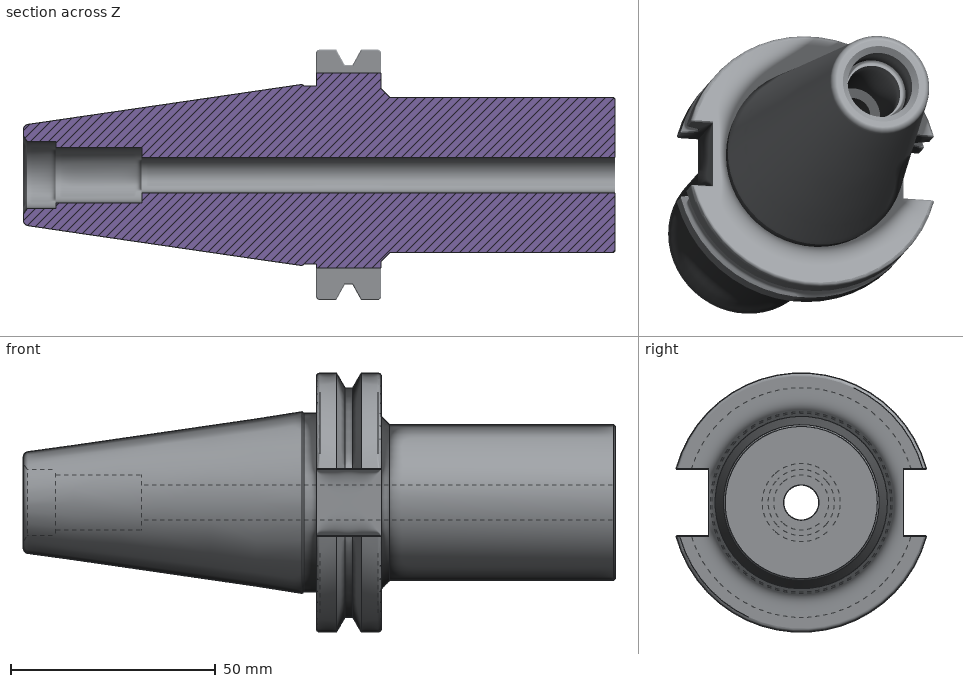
import cadquery as cq
import math

total_length = 144.5
gauge_x = 68.1
flange_x = 71.5
flange_width = 15.9
flange_end_x = flange_x + flange_width

gauge_radius = 44.4 / 2
taper_ratio = 7 / 24
nose_radius = gauge_radius - gauge_x * taper_ratio / 2
nose_round = 1.5
collar_radius = 43.6 / 2
collar_ramp_length = 0.5

flange_radius = 63.3 / 2
rim_round = 0.9
groove_radius = 28.0
groove_floor_width = 1.9
groove_wall_angle = 30
groove_center_x = 79.5

body_radius = 38.0 / 2
neck_length = 2.0
neck_radius = body_radius + neck_length
body_chamfer = 0.5

slot_width = 16.0
slot_edge_break = 0.3
selection_margin = 0.01
shallow_slot_floor = 25.0
deep_slot_floor = 22.7

entry_radius = 19.1 / 2
pilot_radius = 16.2 / 2
thread_radius = 13.5 / 2
through_radius = 8.5 / 2
entry_depth = 1.0
pilot_depth = 8.0
thread_depth = 28.9


def revolve_profile(points):
    """Revolve a closed (x, radius) outline about the X axis."""
    outline = cq.Workplane("XY").polyline(points).close()
    return outline.revolve(360, (0, 0, 0), (1, 0, 0))


def make_shank():
    shank = revolve_profile([
        (0, 0),
        (0, nose_radius),
        (gauge_x, gauge_radius),
        (gauge_x + collar_ramp_length, collar_radius),
        (flange_x, collar_radius),
        (flange_x, 0),
    ])
    return shank.faces("<X").edges().fillet(nose_round)


def make_flange():
    floor_half = groove_floor_width / 2
    wall_run = (flange_radius - groove_radius) * math.tan(math.radians(groove_wall_angle))
    mouth_half = floor_half + wall_run
    flange = revolve_profile([
        (flange_x, 0),
        (flange_x, flange_radius),
        (groove_center_x - mouth_half, flange_radius),
        (groove_center_x - floor_half, groove_radius),
        (groove_center_x + floor_half, groove_radius),
        (groove_center_x + mouth_half, flange_radius),
        (flange_end_x, flange_radius),
        (flange_end_x, 0),
    ])
    return flange.faces("<X or >X").edges().fillet(rim_round)


def make_body():
    return revolve_profile([
        (flange_end_x, 0),
        (flange_end_x, neck_radius),
        (flange_end_x + neck_length, body_radius),
        (total_length - body_chamfer, body_radius),
        (total_length, body_radius - body_chamfer),
        (total_length, 0),
    ])


def make_slot(floor, side):
    """Box that cuts a driving slot on the +Y (side=1) or -Y (side=-1) side."""
    depth = flange_radius - floor
    center = (flange_x + flange_width / 2, side * (floor + depth / 2), 0)
    return cq.Workplane("XY").box(flange_width, depth, slot_width).translate(center)


def make_bore():
    return revolve_profile([
        (0, 0),
        (0, entry_radius),
        (entry_depth, pilot_radius),
        (pilot_depth, pilot_radius),
        (pilot_depth, thread_radius),
        (thread_depth, thread_radius),
        (thread_depth, through_radius),
        (total_length, through_radius),
        (total_length, 0),
    ])


def break_slot_edges(solid):
    """Chamfer the outline of each slot wall, leaving the corners at the floors sharp."""
    half_width = slot_width / 2
    half_span = flange_width / 2 + selection_margin
    center_x = flange_x + flange_width / 2
    edges = []
    for side, floor in ((1, shallow_slot_floor), (-1, deep_slot_floor)):
        for wall_z in (half_width, -half_width):
            inner_y = side * (floor + selection_margin)
            outer_y = side * (flange_radius + selection_margin)
            wall_region = cq.selectors.BoxSelector(
                (center_x - half_span, inner_y, wall_z - selection_margin),
                (center_x + half_span, outer_y, wall_z + selection_margin),
            )
            edges.extend(solid.edges(wall_region).vals())
    return solid.newObject(edges).chamfer(slot_edge_break)


holder = make_shank().union(make_flange()).union(make_body())
holder = holder.cut(make_slot(shallow_slot_floor, 1))
holder = holder.cut(make_slot(deep_slot_floor, -1))
holder = break_slot_edges(holder)
result = holder.cut(make_bore())